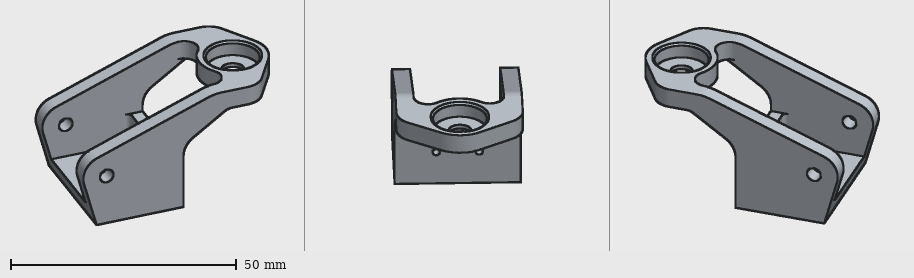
import cadquery as cq
import math

width = 28.0
length = 49.5
height = 27.5
wall = 4.0
inner_half_width = width / 2 - wall

head_radius = 8.0
head_thickness = 4.5
under_z = height - head_thickness
head_flank_angle = math.radians(32)
head_corner_radius = 5.0
bore_diameter = 12.0
bore_depth = 3.5
bore_chamfer = 0.5
through_diameter = 5.0
relief_radius = 3.15

front_y = head_radius - length
rear_y = -17.5
top_slope = math.radians(20)
front_slope = math.radians(15)
under_slope = math.radians(34)
nose_radius = 5.0
nose_z = 12.55
top_bend_radius = 9.0
under_start_y = -6.9
under_bend_radius = 3.0
rear_bend_radius = 5.0
pin_diameter = 3.2
pin_y = -35.9
pin_z = 12.15

floor_thickness = 4.0
rear_wall_thickness = 2.95
rear_wall_top = 11.5
pocket_corner_radius = 1.0
floor_hole_diameter = 3.2
floor_hole_ys = (-23.95, -33.95)
screw_diameter = 1.6
screw_spacing = 9.55
screw_z = 8.05


def side_body():
    """Side silhouette in the YZ plane, extruded over the full width."""
    nose_y = front_y + nose_radius
    front_bottom_y = nose_y - nose_radius / math.cos(front_slope) + nose_z * math.tan(front_slope)
    top_rise = height - nose_z - nose_radius / math.cos(top_slope)
    top_bend_y = nose_y + top_rise / math.tan(top_slope)
    tip_z = (
        height + (front_bottom_y - top_bend_y) * math.tan(top_slope)
    ) / (1 + math.tan(front_slope) * math.tan(top_slope))
    tip_y = front_bottom_y - tip_z * math.tan(front_slope)
    rear_bend_z = under_z - (under_start_y - rear_y) * math.tan(under_slope)

    body = (
        cq.Workplane("YZ")
        .polyline([
            (front_bottom_y, 0),
            (rear_y, 0),
            (rear_y, rear_bend_z),
            (under_start_y, under_z),
            (head_radius, under_z),
            (head_radius, height),
            (top_bend_y, height),
            (tip_y, tip_z),
        ])
        .close()
        .extrude(width / 2, both=True)
    )
    rounded_corners = (
        (tip_y, tip_z, nose_radius),
        (top_bend_y, height, top_bend_radius),
        (under_start_y, under_z, under_bend_radius),
        (rear_y, rear_bend_z, rear_bend_radius),
    )
    for y, z, radius in rounded_corners:
        corner = cq.selectors.NearestToPointSelector((0, y, z))
        body = body.edges("|X").edges(corner).fillet(radius)
    return body


def plan_envelope():
    """Plan outline: round head end with flanks tangent to it, then straight sides."""
    tangent_x = head_radius * math.sin(head_flank_angle)
    tangent_y = head_radius * math.cos(head_flank_angle)
    half = width / 2
    shoulder_y = (head_radius - half * math.sin(head_flank_angle)) / math.cos(head_flank_angle)
    shoulders = cq.selectors.BoxSelector((-width, front_y / 2, 0), (width, tangent_y / 2, height))
    return (
        cq.Workplane("XY")
        .moveTo(-half, front_y)
        .lineTo(half, front_y)
        .lineTo(half, shoulder_y)
        .lineTo(tangent_x, tangent_y)
        .threePointArc((0, head_radius), (-tangent_x, tangent_y))
        .lineTo(-half, shoulder_y)
        .close()
        .extrude(height)
        .edges("|Z")
        .edges(shoulders)
        .fillet(head_corner_radius)
    )


def arm_gap():
    """Space between the arms above the rear wall, with two relief arcs around the round head."""
    relief_x = inner_half_width - relief_radius
    centre_distance = head_radius + relief_radius
    relief_y = -math.sqrt(centre_distance**2 - relief_x**2)
    join_x = relief_x * head_radius / centre_distance
    join_y = relief_y * head_radius / centre_distance
    join_angle = math.atan2(-relief_y, -relief_x)
    mid_x = relief_x + relief_radius * math.cos(join_angle / 2)
    mid_y = relief_y + relief_radius * math.sin(join_angle / 2)
    return (
        cq.Workplane("XY", origin=(0, 0, rear_wall_top))
        .moveTo(-inner_half_width, front_y)
        .lineTo(inner_half_width, front_y)
        .lineTo(inner_half_width, relief_y)
        .threePointArc((mid_x, mid_y), (join_x, join_y))
        .threePointArc((0, -head_radius), (-join_x, join_y))
        .threePointArc((-mid_x, mid_y), (-inner_half_width, relief_y))
        .close()
        .extrude(height - rear_wall_top)
    )


def head_underside_gap():
    """Clears the space between the arms below the head, leaving its underside flat."""
    return (
        cq.Workplane("XY")
        .box(2 * inner_half_width, length, under_z - rear_wall_top, centered=(True, False, False))
        .translate((0, front_y, rear_wall_top))
    )


def floor_pocket():
    """Pocket above the floor, open at the front, with rounded rear corners."""
    pocket_rear_y = rear_y - rear_wall_thickness
    return (
        cq.Workplane("XY")
        .box(2 * inner_half_width, pocket_rear_y - front_y, height, centered=(True, False, False))
        .translate((0, front_y, floor_thickness))
        .edges("|Z and >Y")
        .fillet(pocket_corner_radius)
    )


def head_bore():
    """Blind bore with a chamfered mouth and a smaller hole through its floor."""
    bore_radius = bore_diameter / 2
    mouth_radius = bore_radius + bore_chamfer
    through_radius = through_diameter / 2
    bore_floor_z = height - bore_depth
    return (
        cq.Workplane("XZ")
        .polyline([
            (0, 0),
            (through_radius, 0),
            (through_radius, bore_floor_z),
            (bore_radius, bore_floor_z),
            (bore_radius, height - bore_chamfer),
            (mouth_radius, height),
            (0, height),
        ])
        .close()
        .revolve(360, (0, 0), (0, 1))
    )


def pin_holes():
    """Cross hole through both arms."""
    return (
        cq.Workplane("YZ")
        .center(pin_y, pin_z)
        .circle(pin_diameter / 2)
        .extrude(width / 2, both=True)
    )


def floor_holes():
    return (
        cq.Workplane("XY")
        .pushPoints([(0, y) for y in floor_hole_ys])
        .circle(floor_hole_diameter / 2)
        .extrude(floor_thickness)
    )


def rear_screw_holes():
    return (
        cq.Workplane("XZ", origin=(0, rear_y, 0))
        .pushPoints([(side * screw_spacing / 2, screw_z) for side in (-1, 1)])
        .circle(screw_diameter / 2)
        .extrude(rear_wall_thickness)
    )


result = side_body().intersect(plan_envelope())
cutters = (
    arm_gap,
    head_underside_gap,
    floor_pocket,
    head_bore,
    pin_holes,
    floor_holes,
    rear_screw_holes,
)
for cutter in cutters:
    result = result.cut(cutter())